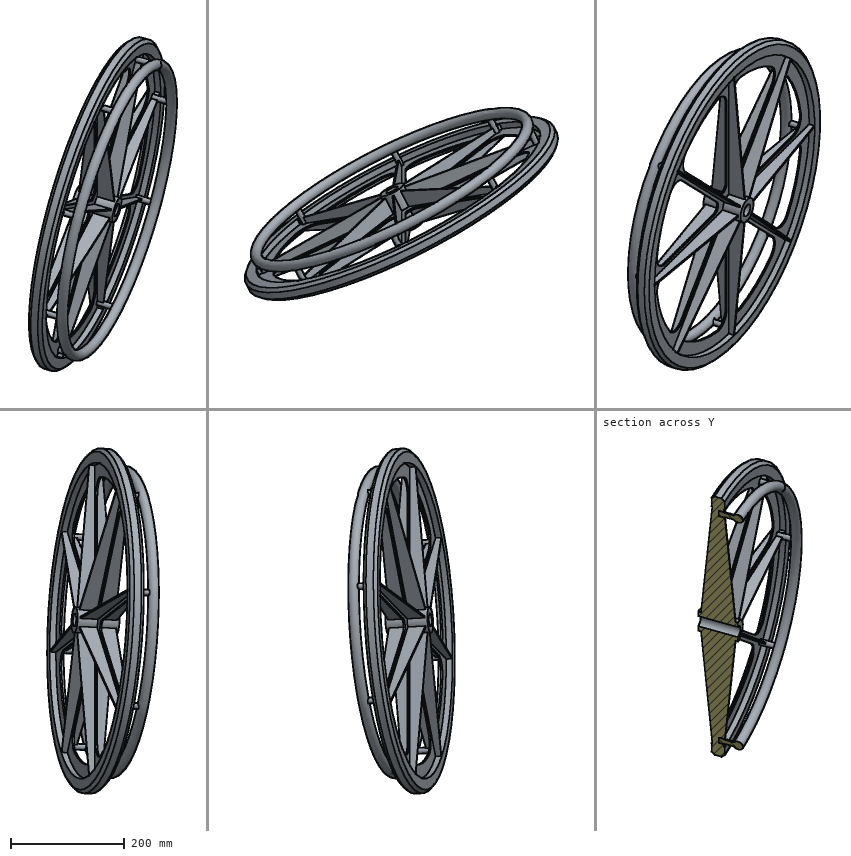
import cadquery as cq
import math


wheel_diameter = 609.5
rim_width = 25.5
rim_radial_depth = 25.5
rim_chamfer = 6.0
wheel_radius = wheel_diameter / 2
rim_inner_radius = wheel_radius - rim_radial_depth

web_thickness = 3.0
spoke_count = 8
spoke_width = 16.5
window_outer_radius = 254.0
window_outer_fillet = 28.0
window_inner_fillet = 13.0

hub_diameter = 46.0
hub_length = 76.0
bore_diameter = 22.5

rib_thickness = 3.0
hub_projection = 5.0
rib_root_height = hub_length / 2 - hub_projection
rib_tip_height = 11.5

hand_rim_diameter = 533.5
tube_diameter = 19.5
post_diameter = 11.0
hand_rim_radius = hand_rim_diameter / 2
hand_rim_x = hub_length / 2

spoke_pitch = 360 / spoke_count


def disc(diameter, width):
    """Solid cylinder on the X axis, centred on X = 0."""
    return cq.Workplane("YZ", origin=(-width / 2, 0, 0)).circle(diameter / 2).extrude(width)


def turned(shape, step):
    """Copy of a shape turned about X by a number of spoke pitches."""
    return shape.rotate((0, 0, 0), (1, 0, 0), step * spoke_pitch)


def make_rim():
    rim = disc(wheel_diameter, rim_width).edges().chamfer(rim_chamfer)
    return rim.cut(disc(2 * rim_inner_radius, rim_width))


def make_window():
    """Rounded sector between the spoke along +Y and the next one."""
    half_angle = math.radians(spoke_pitch / 2)
    apex_radius = spoke_width / 2 / math.sin(half_angle)
    side_reach = math.sqrt(window_outer_radius**2 - (spoke_width / 2) ** 2)
    corner_angle = math.asin(spoke_width / 2 / window_outer_radius)
    far_angle = 2 * half_angle - corner_angle

    def polar(radius, angle):
        return (radius * math.cos(angle), radius * math.sin(angle))

    window = (
        cq.Workplane("YZ")
        .moveTo(*polar(apex_radius, half_angle))
        .lineTo(side_reach, spoke_width / 2)
        .threePointArc(polar(window_outer_radius, half_angle), polar(window_outer_radius, far_angle))
        .close()
        .extrude(web_thickness / 2, both=True)
    )
    apex_y, apex_z = polar(apex_radius, half_angle)
    apex_edge = cq.selectors.NearestToPointSelector((0, apex_y, apex_z))
    window = window.edges("|X").edges(apex_edge).fillet(window_inner_fillet)
    for corner in (corner_angle, far_angle):
        corner_y, corner_z = polar(window_outer_radius, corner)
        corner_edge = cq.selectors.NearestToPointSelector((0, corner_y, corner_z))
        window = window.edges("|X").edges(corner_edge).fillet(window_outer_fillet)
    return window


def make_web():
    web = disc(2 * rim_inner_radius, web_thickness)
    window = make_window()
    for step in range(spoke_count):
        web = web.cut(turned(window, step))
    return web


def make_rib_pair():
    """Tapered rib along +Y, reaching out of both faces of the web."""
    hub_radius = hub_diameter / 2
    root_radius = (hub_diameter + bore_diameter) / 4
    return (
        cq.Workplane("XY")
        .moveTo(-rib_root_height, root_radius)
        .lineTo(rib_root_height, root_radius)
        .lineTo(rib_root_height, hub_radius)
        .lineTo(rib_tip_height, rim_inner_radius)
        .lineTo(-rib_tip_height, rim_inner_radius)
        .lineTo(-rib_root_height, hub_radius)
        .close()
        .extrude(rib_thickness / 2, both=True)
    )


def make_hand_rim():
    """Round tube with posts that stand on the +X face of the web."""
    tube = (
        cq.Workplane("XY")
        .center(hand_rim_x, hand_rim_radius)
        .circle(tube_diameter / 2)
        .revolve(360, (-hand_rim_x, -hand_rim_radius), (0, -hand_rim_radius))
    )
    post = (
        cq.Workplane("YZ", origin=(web_thickness / 2, 0, 0))
        .center(hand_rim_radius, 0)
        .circle(post_diameter / 2)
        .extrude(hand_rim_x - web_thickness / 2)
    )
    seam_turned_tube = turned(tube, 0.5).val()
    posts = [turned(post, step).val() for step in range(spoke_count)]
    return cq.Workplane(seam_turned_tube.fuse(*posts))


def make_wheel(hand_rim):
    wheel = make_rim().union(make_web()).union(disc(hub_diameter, hub_length))
    rib_pair = make_rib_pair()
    for step in range(spoke_count):
        wheel = wheel.union(turned(rib_pair, step))
    wheel = wheel.cut(disc(bore_diameter, hub_length))
    return wheel.cut(hand_rim)


hand_rim = make_hand_rim()
wheel = make_wheel(hand_rim)

result = cq.Compound.makeCompound([wheel.solids().val(), hand_rim.solids().val()])